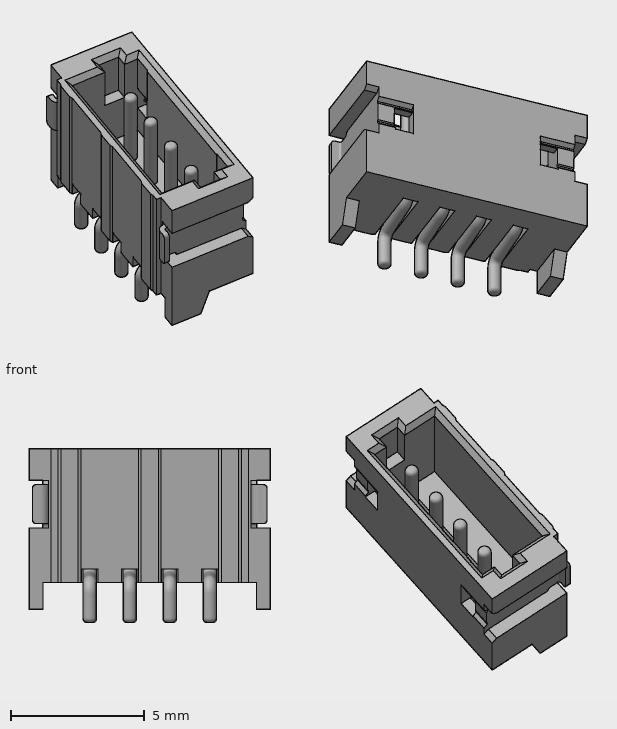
import cadquery as cq
import math


length = 9.0
depth = 3.5
height = 5.0
front_wall_length = 7.38
front_wall_offset = 0.2

rib_pitch = 3.0
rib_base_width = 0.855
rib_top_width = 0.65
rib_height = 0.045
rib_count = 3

cavity_length = 6.64
cavity_front = 0.25
cavity_back = 3.04
lead_in_width = 0.21
lead_in_depth = 0.21
front_floor = 0.9
back_floor = 1.09
floor_step_front = 1.46
recess_start = 2.58
recess_depth = 0.03

notch_length = 7.54
notch_front = 1.66
notch_back = 2.5
notch_floor = 3.07

groove_depth = 0.5
groove_bottom = 2.04
groove_top = 3.82
groove_flare_length = 0.21
groove_flare = 0.15
groove_middle = (groove_bottom + groove_top) / 2
tab_slot_length = 0.495
tab_slot_radius = 0.135

window_bottom = 2.25
window_top = 3.25
window_mouth_height = 1.23
window_mouth_depth = 0.15
window_bevel = 0.135
window_land_height = 0.74
window_land_rise = 0.045

tab_thickness = 0.22
tab_height = 1.47
tab_inner_radius = 0.09
tab_reach = 4.38
tab_corner_radius = 0.14

foot_length = 1.0
foot_width = 0.52
foot_root_back = 1.62
foot_tip_back = 1.25

pin_count = 4
pin_pitch = 1.49
pin_radius = 0.25
pin_contact_y = 2.14
pin_top = 4.25
overall_height = 6.5
pin_bottom = height - overall_height
pin_bend_radius = 0.4
pin_run_tilt = 6.0
pin_tail_top = -0.39
pin_tip_radius = 0.14
pin_slot_width = 0.6
pin_slot_height = 0.51


def box(x0, x1, y0, y1, z0, z1):
    """Box between two opposite corners."""
    return cq.Workplane("XY").box(x1 - x0, y1 - y0, z1 - z0, centered=False).translate((x0, y0, z0))


def both_ends(shape):
    """The shape together with its mirror image about X = 0."""
    return shape.union(shape.mirror("YZ"))


def lead_in(half_length, y0, y1):
    """Funnel that widens a rectangular opening up to the top face."""
    return (
        cq.Workplane("XY", origin=(0, (y0 + y1) / 2, height - lead_in_depth))
        .rect(2 * half_length, y1 - y0)
        .workplane(offset=lead_in_depth)
        .rect(2 * (half_length + lead_in_width), y1 - y0 + 2 * lead_in_width)
        .loft(ruled=True)
    )


def make_shell():
    half = length / 2
    shell = box(-half, half, 0, depth, 0, height)
    half_wall = front_wall_length / 2
    shell = shell.union(box(-half_wall, half_wall, -front_wall_offset, depth, 0, height))
    for i in range(rib_count):
        x = (i - (rib_count - 1) / 2) * rib_pitch
        rib = (
            cq.Workplane("XY")
            .polyline([
                (x - rib_base_width / 2, -front_wall_offset),
                (x - rib_top_width / 2, -front_wall_offset - rib_height),
                (x + rib_top_width / 2, -front_wall_offset - rib_height),
                (x + rib_base_width / 2, -front_wall_offset),
            ])
            .close()
            .extrude(height)
        )
        shell = shell.union(rib)
    return shell


def make_feet():
    foot = (
        cq.Workplane("YZ", origin=(-length / 2, 0, 0))
        .polyline([(0, 0), (foot_root_back, 0), (foot_tip_back, -foot_length), (0, -foot_length)])
        .close()
        .extrude(foot_width)
    )
    return both_ends(foot)


def make_cavity():
    half = cavity_length / 2
    floor_rise = back_floor - front_floor
    cavity = (
        cq.Workplane("YZ", origin=(-half, 0, 0))
        .polyline([
            (cavity_front, height),
            (cavity_front, front_floor),
            (floor_step_front, front_floor),
            (floor_step_front + floor_rise, back_floor),
            (cavity_back, back_floor),
            (cavity_back, height),
        ])
        .close()
        .extrude(cavity_length)
    )
    recess_back = cavity_back + recess_depth
    recess = box(recess_start, half, cavity_back, recess_back, back_floor, height)
    half_notch = notch_length / 2
    notches = box(-half_notch, half_notch, notch_front, notch_back, notch_floor, height)
    return (
        cavity.union(both_ends(recess))
        .union(notches)
        .union(lead_in(half, cavity_front, cavity_back))
        .union(lead_in(half_notch, notch_front, notch_back))
    )


def make_side_grooves():
    flare_start = depth - groove_flare_length
    groove = (
        cq.Workplane("YZ", origin=(length / 2 - groove_depth, 0, 0))
        .polyline([
            (0, groove_bottom),
            (flare_start, groove_bottom),
            (depth, groove_bottom - groove_flare),
            (depth, groove_top + groove_flare),
            (flare_start, groove_top),
            (0, groove_top),
        ])
        .close()
        .extrude(groove_depth)
    )
    slot_outer = length / 2 - groove_depth
    slot_inner = slot_outer - tab_thickness
    tab_bottom = groove_middle - tab_height / 2
    lower_slot = (
        box(slot_inner, slot_outer, 0, tab_slot_length, groove_bottom, tab_bottom)
        .edges("|X and >Y and >Z")
        .fillet(tab_slot_radius)
    )
    upper_slot = lower_slot.mirror("XY", (0, 0, groove_middle))
    return both_ends(groove.union(lower_slot).union(upper_slot))


def make_windows():
    through = box(recess_start, cavity_length / 2, cavity_back, depth, window_bottom, window_top)
    half_mouth = window_mouth_height / 2
    half_land = window_land_height / 2
    mouth_floor = depth - window_mouth_depth
    land = mouth_floor + window_land_rise
    mouth = (
        cq.Workplane("YZ", origin=(recess_start, 0, groove_middle))
        .polyline([
            (depth, -half_mouth),
            (depth, half_mouth),
            (mouth_floor, half_mouth - window_bevel),
            (mouth_floor, half_land + window_land_rise),
            (land, half_land),
            (land, -half_land),
            (mouth_floor, -half_land - window_land_rise),
            (mouth_floor, window_bevel - half_mouth),
        ])
        .close()
        .extrude(length / 2 - recess_start)
    )
    return both_ends(through.union(mouth))


def make_tabs():
    """Plates lying between the groove slots and bent outward at the front."""
    outer_face = length / 2 - groove_depth
    inner_face = outer_face - tab_thickness
    outer_radius = tab_inner_radius + tab_thickness
    bend_x = outer_face + tab_inner_radius
    front = -pin_radius
    bend_y = front + outer_radius
    diagonal = math.sqrt(0.5)
    tab = (
        cq.Workplane("XY", origin=(0, 0, groove_middle - tab_height / 2))
        .moveTo(inner_face, tab_slot_length)
        .lineTo(inner_face, bend_y)
        .threePointArc(
            (bend_x - outer_radius * diagonal, bend_y - outer_radius * diagonal),
            (bend_x, front),
        )
        .lineTo(tab_reach, front)
        .lineTo(tab_reach, front + tab_thickness)
        .lineTo(bend_x, front + tab_thickness)
        .threePointArc(
            (bend_x - tab_inner_radius * diagonal, bend_y - tab_inner_radius * diagonal),
            (outer_face, bend_y),
        )
        .lineTo(outer_face, tab_slot_length)
        .close()
        .extrude(tab_height)
        .edges("|Y and >X")
        .fillet(tab_corner_radius)
    )
    return both_ends(tab)


def make_pin():
    """Round pin at X = 0, bent forward under the floor and down again at the front."""
    tilt = math.radians(pin_run_tilt)
    half_turn = (math.pi / 2 - tilt) / 2
    bend_setback = pin_bend_radius * math.tan(half_turn)
    setback_y = bend_setback * math.cos(tilt)
    setback_z = bend_setback * math.sin(tilt)
    middle_y = pin_bend_radius * (1 - math.cos(half_turn))
    middle_z = pin_bend_radius * math.sin(half_turn)
    front_corner_z = pin_tail_top + bend_setback
    back_corner_z = front_corner_z + pin_contact_y * math.tan(tilt)
    contact_bottom = back_corner_z + bend_setback
    path = (
        cq.Workplane("YZ")
        .moveTo(pin_contact_y, pin_top)
        .lineTo(pin_contact_y, contact_bottom)
        .threePointArc(
            (pin_contact_y - middle_y, contact_bottom - middle_z),
            (pin_contact_y - setback_y, back_corner_z - setback_z),
        )
        .lineTo(setback_y, front_corner_z + setback_z)
        .threePointArc((middle_y, pin_tail_top + middle_z), (0, pin_tail_top))
        .lineTo(0, pin_bottom)
    )
    pin = cq.Workplane("XY", origin=(0, pin_contact_y, pin_top)).circle(pin_radius).sweep(path)
    return pin.faces("<Z or >Z").edges().fillet(pin_tip_radius)


def make_pin_slot():
    """Slot in the underside, open at the front and ending just behind the pin."""
    half = pin_slot_width / 2
    front = -front_wall_offset - rib_height
    return box(-half, half, front, pin_contact_y + half, 0, pin_slot_height)


result = (
    make_shell()
    .union(make_feet())
    .cut(make_cavity())
    .cut(make_side_grooves())
    .cut(make_windows())
    .union(make_tabs())
)
pin = make_pin()
pin_slot = make_pin_slot()
for i in range(pin_count):
    pin_place = ((i - (pin_count - 1) / 2) * pin_pitch, 0, 0)
    result = result.cut(pin_slot.translate(pin_place)).union(pin.translate(pin_place))